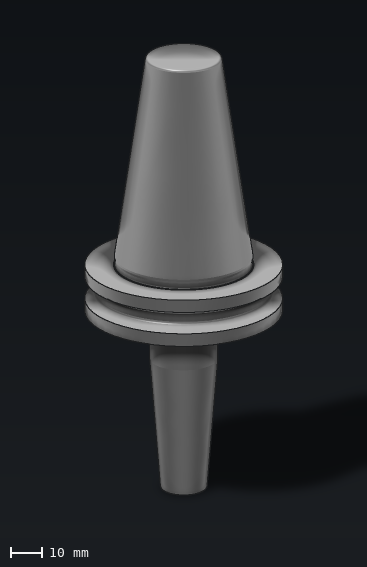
import cadquery as cq
import math


gauge_radius = 44.45 / 2
taper_length = 68.4
taper_slope = 7 / 48
taper_end_fillet = 1.2

collar_land = 0.7
undercut_radial_depth = 0.2
undercut_axial_depth = 0.14
undercut_corner_radius = 0.6
undercut_shaft_angle = math.radians(15)
undercut_face_angle = math.radians(8)

flange_radius = 63.55 / 2
flange_top = -3.2
flange_bottom = -19.1
groove_center = -11.1
groove_floor_radius = 56.25 / 2
groove_mouth_width = 7.35
groove_wall_angle = math.radians(30)
groove_corner_radius = 1.0

nose_end = -80.0
nose_radius = 11.0
nose_tip_radius = 7.5
nose_cone_angle = math.radians(4.5)
nose_root_fillet = 2.4
nose_tip_fillet = 0.8

select_margin = 0.05


def revolve(profile):
    """Turn a closed (radius, height) outline about the Z axis."""
    return profile.close().revolve(360, (0, 0, 0), (0, 1, 0))


def select_circle(body, radius, height):
    """Pick the circular edges lying at the given radius and height."""

    def ring_box(reach):
        return cq.selectors.BoxSelector(
            (-reach, -reach, height - select_margin),
            (reach, reach, height + select_margin),
            boundingbox=True,
        )

    return body.edges(ring_box(radius + select_margin) - ring_box(radius - select_margin))


def make_body():
    """Taper, collar, flange and nose as one turned solid with its outer fillets."""
    taper_end_radius = gauge_radius - taper_slope * taper_length
    nose_cone_length = (nose_radius - nose_tip_radius) / math.tan(nose_cone_angle)
    profile = (
        cq.Workplane("XZ")
        .moveTo(0, nose_end)
        .lineTo(nose_tip_radius, nose_end)
        .lineTo(nose_radius, nose_end + nose_cone_length)
        .lineTo(nose_radius, flange_bottom)
        .lineTo(flange_radius, flange_bottom)
        .lineTo(flange_radius, flange_top)
        .lineTo(gauge_radius, flange_top)
        .lineTo(gauge_radius, 0)
        .lineTo(taper_end_radius, taper_length)
        .lineTo(0, taper_length)
    )
    body = revolve(profile)
    body = select_circle(body, taper_end_radius, taper_length).fillet(taper_end_fillet)
    body = select_circle(body, nose_radius, flange_bottom).fillet(nose_root_fillet)
    return select_circle(body, nose_tip_radius, nose_end).fillet(nose_tip_fillet)


def make_groove():
    """Ring that cuts the V-shaped gripper groove, its floor corners rounded."""
    mouth_half = groove_mouth_width / 2
    depth = flange_radius - groove_floor_radius
    floor_half = mouth_half - depth * math.tan(groove_wall_angle)
    profile = (
        cq.Workplane("XZ")
        .moveTo(flange_radius, groove_center - mouth_half)
        .lineTo(groove_floor_radius, groove_center - floor_half)
        .lineTo(groove_floor_radius, groove_center + floor_half)
        .lineTo(flange_radius, groove_center + mouth_half)
    )
    ring = revolve(profile)
    for side in (-1, 1):
        corner = select_circle(ring, groove_floor_radius, groove_center + side * floor_half)
        ring = corner.fillet(groove_corner_radius)
    return ring


def make_undercut():
    """Ring that relieves the corner between the collar and the flange face."""
    neck_radius = gauge_radius - undercut_radial_depth
    floor = flange_top - undercut_axial_depth
    ramp_length = undercut_radial_depth / math.tan(undercut_shaft_angle)

    arc_radius = neck_radius + undercut_corner_radius
    arc_height = floor + undercut_corner_radius

    def arc_point(angle):
        return (
            arc_radius - undercut_corner_radius * math.cos(angle),
            arc_height - undercut_corner_radius * math.sin(angle),
        )

    arc_end_angle = math.pi / 2 - undercut_face_angle
    arc_end = arc_point(arc_end_angle)
    face_rim_radius = arc_end[0] + (flange_top - arc_end[1]) / math.tan(undercut_face_angle)
    profile = (
        cq.Workplane("XZ")
        .moveTo(gauge_radius, -collar_land)
        .lineTo(neck_radius, -collar_land - ramp_length)
        .lineTo(*arc_point(0))
        .threePointArc(arc_point(arc_end_angle / 2), arc_end)
        .lineTo(face_rim_radius, flange_top)
        .lineTo(face_rim_radius, -collar_land)
    )
    return revolve(profile)


result = make_body().cut(make_groove()).cut(make_undercut())